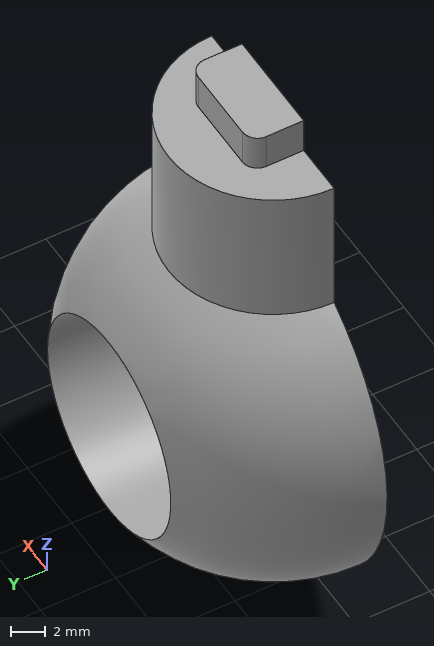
import cadquery as cq

ball_radius = 12.95
bore_diameter = 14.0
shank_diameter = 13.9
shank_top = 20.5
tab_top = 23.0
tab_width = 7.0
tab_depth = 3.5
tab_corner_radius = 1.0


def half_space():
    """Block covering everything on the +Y side of the flat face."""
    size = 2 * (ball_radius + tab_top)
    return cq.Workplane("XY").box(size, size, size, centered=(True, False, True))


def ball_and_shank():
    """Ball with a round shank rising from its centre, halved by the flat face."""
    ball = cq.Workplane("XY").sphere(ball_radius)
    shank = cq.Workplane("XY").circle(shank_diameter / 2).extrude(shank_top)
    return ball.union(shank).intersect(half_space())


def tab():
    """Rectangular key on the shank end, with its two rear corners rounded."""
    return (
        cq.Workplane("XY")
        .workplane(offset=shank_top)
        .rect(tab_width, 2 * tab_depth)
        .extrude(tab_top - shank_top)
        .edges("|Z")
        .fillet(tab_corner_radius)
        .intersect(half_space())
    )


def bore():
    """Through hole along Y; it meets the ball in a sharp rear rim."""
    return cq.Workplane("XZ").circle(bore_diameter / 2).extrude(ball_radius, both=True)


result = ball_and_shank().cut(bore()).union(tab())